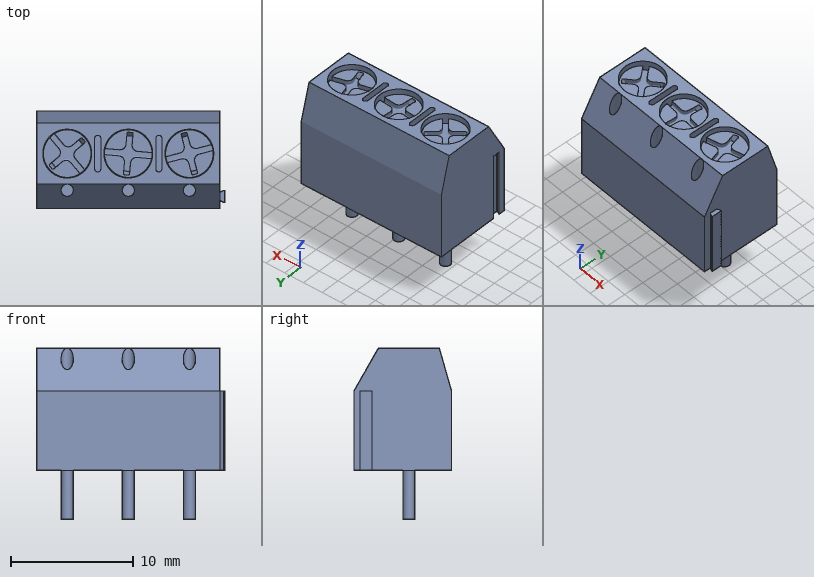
import cadquery as cq


POLE_COUNT = 3
PITCH = 5.0
HOUSING_LENGTH = POLE_COUNT * PITCH
HOUSING_HEIGHT = 10.0
SHOULDER_HEIGHT = 6.5
FRONT_Y = -4.5
BACK_Y = 3.5
TOP_HALF_DEPTH = 2.5

PIN_DIAMETER = 1.0
PIN_LENGTH = 4.0

WELL_DIAMETER = 4.0
SCREW_DIAMETER = 3.9
SCREW_SINK = 0.5
SCREW_HEAD_HEIGHT = 1.0
WELL_DEPTH = SCREW_SINK + SCREW_HEAD_HEIGHT
SCREW_ANGLES = (-50.0, -5.0, 15.0)

RECESS_DEPTH = 0.5
RECESS_WIDTH = 0.5
SHORT_ARM_TOP_LENGTH = 3.5
SHORT_ARM_BOTTOM_LENGTH = 2.9
RECESS_CORNER_RADIUS = 0.5
RECESS_FLOOR_RADIUS = 0.1
CENTRE_TOLERANCE = 0.001

SLOT_WIDTH = 0.5
SLOT_LENGTH = 3.0
SLOT_DEPTH = 1.0

TEST_HOLE_DIAMETER = 1.0
TEST_HOLE_Y = -3.0

DOVETAIL_Y = -3.5
DOVETAIL_ROOT_WIDTH = 0.7
DOVETAIL_TIP_WIDTH = 1.0
DOVETAIL_FLARE = 0.3
DOVETAIL_REACH = 0.4

pole_xs = [(i - (POLE_COUNT - 1) / 2) * PITCH for i in range(POLE_COUNT)]
slot_xs = [x + PITCH / 2 for x in pole_xs[:-1]]


def make_housing():
    """Prism along X with a sloped shoulder at the front and at the back."""
    profile = [
        (FRONT_Y, 0),
        (BACK_Y, 0),
        (BACK_Y, SHOULDER_HEIGHT),
        (TOP_HALF_DEPTH, HOUSING_HEIGHT),
        (-TOP_HALF_DEPTH, HOUSING_HEIGHT),
        (FRONT_Y, SHOULDER_HEIGHT),
    ]
    return cq.Workplane("YZ").polyline(profile).close().extrude(HOUSING_LENGTH / 2, both=True)


def make_dovetail(root_x):
    """Dovetail bar that widens toward +X, from Z = 0 up to the shoulders."""
    flare_x = root_x + DOVETAIL_FLARE
    tip_x = root_x + DOVETAIL_REACH
    half_root = DOVETAIL_ROOT_WIDTH / 2
    half_tip = DOVETAIL_TIP_WIDTH / 2
    profile = [
        (root_x, DOVETAIL_Y - half_root),
        (flare_x, DOVETAIL_Y - half_tip),
        (tip_x, DOVETAIL_Y - half_tip),
        (tip_x, DOVETAIL_Y + half_tip),
        (flare_x, DOVETAIL_Y + half_tip),
        (root_x, DOVETAIL_Y + half_root),
    ]
    return cq.Workplane("XY").polyline(profile).close().extrude(SHOULDER_HEIGHT)


def lies_off_arm_centres(edge):
    """True for an edge whose centre is on neither arm's centre plane, so not across an arm's end."""
    centre = edge.Center()
    return min(abs(centre.x), abs(centre.y)) > CENTRE_TOLERANCE


def make_cross_recess():
    """Cross-shaped cutter below Z = 0: long arm along X, sloped-end short arm along Y."""
    long_arm = cq.Workplane("XY").rect(WELL_DIAMETER, RECESS_WIDTH).extrude(-RECESS_DEPTH)
    short_profile = [
        (-SHORT_ARM_TOP_LENGTH / 2, 0),
        (SHORT_ARM_TOP_LENGTH / 2, 0),
        (SHORT_ARM_BOTTOM_LENGTH / 2, -RECESS_DEPTH),
        (-SHORT_ARM_BOTTOM_LENGTH / 2, -RECESS_DEPTH),
    ]
    short_arm = cq.Workplane("YZ").polyline(short_profile).close().extrude(RECESS_WIDTH / 2, both=True)
    inner_corners = cq.selectors.BoxSelector(
        (-RECESS_WIDTH, -RECESS_WIDTH, -RECESS_DEPTH),
        (RECESS_WIDTH, RECESS_WIDTH, 0),
    )
    cross = long_arm.union(short_arm).edges("|Z").edges(inner_corners).fillet(RECESS_CORNER_RADIUS)
    return cross.edges("not (|Z or >Z)").filter(lies_off_arm_centres).fillet(RECESS_FLOOR_RADIUS)


def make_screw():
    """Screw head on the Z axis, standing on the well floor, with a cross recess in its top."""
    well_floor = HOUSING_HEIGHT - WELL_DEPTH
    screw_top = HOUSING_HEIGHT - SCREW_SINK
    head = cq.Workplane("XY", origin=(0, 0, well_floor)).circle(SCREW_DIAMETER / 2).extrude(SCREW_HEAD_HEIGHT)
    return head.cut(make_cross_recess().translate((0, 0, screw_top)))


def cut_top_openings(body):
    """Screw wells and slots in the top face, test holes down to the shoulder level."""
    top = cq.Workplane("XY", origin=(0, 0, HOUSING_HEIGHT))
    wells = top.pushPoints([(x, 0) for x in pole_xs]).circle(WELL_DIAMETER / 2).extrude(-WELL_DEPTH)
    slots = top.pushPoints([(x, 0) for x in slot_xs]).slot2D(SLOT_LENGTH, SLOT_WIDTH, 90).extrude(-SLOT_DEPTH)
    test_holes = (
        top.pushPoints([(x, TEST_HOLE_Y) for x in pole_xs])
        .circle(TEST_HOLE_DIAMETER / 2)
        .extrude(SHOULDER_HEIGHT - HOUSING_HEIGHT)
    )
    return body.cut(wells).cut(slots).cut(test_holes)


def make_pins():
    pin_centres = [(x, 0) for x in pole_xs]
    return cq.Workplane("XY").pushPoints(pin_centres).circle(PIN_DIAMETER / 2).extrude(-PIN_LENGTH)


result = cut_top_openings(make_housing())
result = result.cut(make_dovetail(-HOUSING_LENGTH / 2))
result = result.union(make_dovetail(HOUSING_LENGTH / 2))
result = result.union(make_pins())
screw = make_screw()
for pole_x, angle in zip(pole_xs, SCREW_ANGLES):
    turned_screw = screw.rotate((0, 0, 0), (0, 0, 1), angle)
    result = result.union(turned_screw.translate((pole_x, 0, 0)))